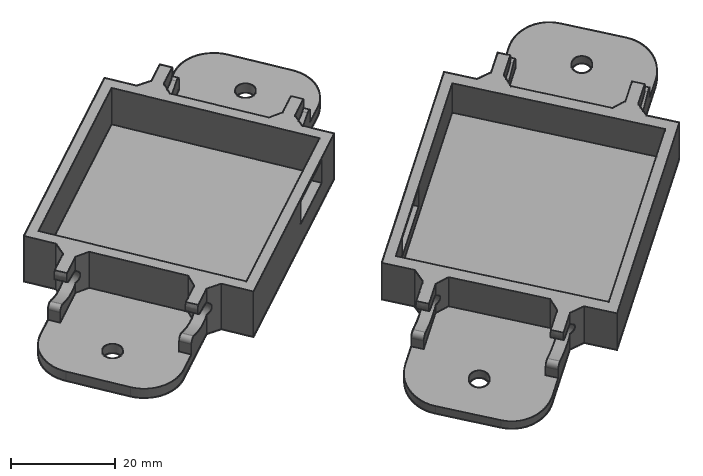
import cadquery as cq
import math

tray_size = 46.4
tray_height = 12.0
cavity_size = 42.0
floor_thickness = 2.4
wall_face = tray_size / 2
wall_thickness = (tray_size - cavity_size) / 2

window_width = 12.0
window_height = 6.0
window_center_y = 10.0
window_bottom = 5.4

overall_length = 93.0
tab_width = 29.0
tab_thickness = 2.5
tab_corner_radius = 8.0
screw_hole_diameter = 4.0
screw_hole_offset = 15.0
screw_hole_y = wall_face + screw_hole_offset

hook_thickness = 2.5
hook_outer_x = tab_width / 2
hook_inner_x = hook_outer_x - hook_thickness
flare_length = 2.2
flare_outer = 2.2
flare_inner = 2.0

upper_arm_top = wall_face + 7.0
upper_arm_end = wall_face + 7.3
upper_arm_end_z = 10.8
nose_bottom = (wall_face + 6.2, 9.1)
nose_corner = (wall_face + 7.1, 9.7)
slot_radius = 2.0
slot_center_y = wall_face + 3.4
slot_center_z = 6.7
slot_roof_angle = math.radians(8)
ramp_start_y = wall_face + 6.3
ramp_start_z = 4.9
ramp_angle = math.radians(25)
lower_arm_end = wall_face + 10.95
lower_tip_radius = 1.0
lower_tip_z = 5.25


def make_tray():
    tray = cq.Workplane("XY").box(tray_size, tray_size, tray_height, centered=(True, True, False))
    cavity = (
        cq.Workplane("XY")
        .workplane(offset=floor_thickness)
        .rect(cavity_size, cavity_size)
        .extrude(tray_height)
    )
    window = cq.Workplane("XY").box(
        2 * wall_thickness, window_width, window_height, centered=(True, True, False)
    )
    window = window.translate((wall_face - wall_thickness / 2, window_center_y, window_bottom))
    return tray.cut(cavity).cut(window)


def make_tab():
    """Flat tab on the +Y side, starting inside the tray wall."""
    tab_start = wall_face - wall_thickness
    tab_length = overall_length / 2 - tab_start
    tab = (
        cq.Workplane("XY")
        .box(tab_width, tab_length, tab_thickness, centered=(True, False, False))
        .translate((0, tab_start, 0))
        .edges("|Z and >Y")
        .fillet(tab_corner_radius)
    )
    hole = (
        cq.Workplane("XY")
        .center(0, screw_hole_y)
        .circle(screw_hole_diameter / 2)
        .extrude(tab_thickness)
    )
    return tab.cut(hole)


def slot_point(angle_degrees):
    """Point on the round back of the slot, measured from the +Y direction."""
    angle = math.radians(angle_degrees)
    y = slot_center_y + slot_radius * math.cos(angle)
    z = slot_center_z + slot_radius * math.sin(angle)
    return (y, z)


def tip_point(angle):
    """Point on the rounded tip of the lower arm, measured from the +Z direction toward +Y."""
    y = lower_arm_end - lower_tip_radius + lower_tip_radius * math.sin(angle)
    z = lower_tip_z + lower_tip_radius * math.cos(angle)
    return (y, z)


def make_hook_side_profile():
    """Side shape of a hook in the YZ plane, extruded across the tab and its flares."""
    root = wall_face - wall_thickness
    half_width = hook_outer_x + flare_outer
    roof_start = 90 + math.degrees(slot_roof_angle)

    slot_curve = [
        (ramp_start_y, ramp_start_z),
        slot_point(270),
        slot_point(225),
        slot_point(180),
        slot_point(135),
        slot_point(roof_start),
        nose_bottom,
        nose_corner,
        (upper_arm_end, upper_arm_end_z),
        (upper_arm_top, tray_height),
    ]
    ramp_direction = (-math.cos(ramp_angle), -math.sin(ramp_angle))
    nose_top_direction = (-0.5, 1)

    return (
        cq.Workplane("YZ")
        .moveTo(root, 0)
        .lineTo(lower_arm_end, 0)
        .lineTo(lower_arm_end, lower_tip_z)
        .threePointArc(tip_point(0), tip_point(-ramp_angle))
        .spline(slot_curve, tangents=[ramp_direction, nose_top_direction], includeCurrent=True)
        .lineTo(root, tray_height)
        .close()
        .extrude(half_width, both=True)
    )


def make_hook_plan(side):
    """Plan shape of one hook, flared on both faces; side is +1 or -1 along X."""
    root = wall_face - wall_thickness
    flare_end = wall_face + flare_length
    outline = [
        (hook_inner_x - flare_inner, root),
        (hook_inner_x - flare_inner, wall_face),
        (hook_inner_x, flare_end),
        (hook_inner_x, lower_arm_end),
        (hook_outer_x, lower_arm_end),
        (hook_outer_x, flare_end),
        (hook_outer_x + flare_outer, wall_face),
        (hook_outer_x + flare_outer, root),
    ]
    points = [(side * x, y) for x, y in outline]
    return cq.Workplane("XY").polyline(points).close().extrude(tray_height)


def make_mount():
    """Tab with its pair of hooks on the +Y side, trimmed flush with the cavity wall."""
    side_profile = make_hook_side_profile()
    mount = make_tab()
    for side in (1, -1):
        mount = mount.union(make_hook_plan(side).intersect(side_profile))
    return mount


mount = make_mount()
result = make_tray().union(mount).union(mount.mirror("XZ"))